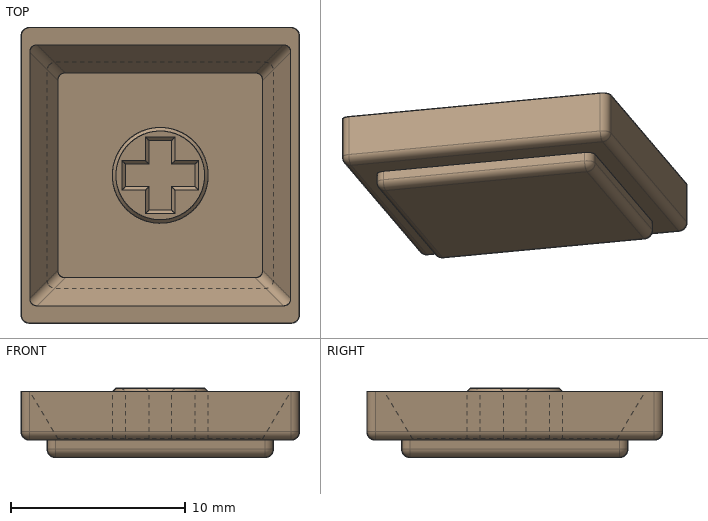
import cadquery as cq
import math

total_height = 4.0
edge_radius = 0.5

base_side = 13.0
base_height = 1.0

tray_length_x = 16.0
tray_length_y = 17
stem_rise = 0.19
rim_z = total_height - stem_rise

cavity_top_side = 15.0
cavity_floor_side = 11.76
cavity_depth = 2.72
cavity_corner_radius = 0.5
floor_z = rim_z - cavity_depth
wall_angle = math.degrees(math.atan((cavity_top_side - cavity_floor_side) / 2 / cavity_depth))

stem_diameter = 5.5
stem_chamfer = 0.2
socket_span = 4.0
socket_arm_width = 1.3
socket_chamfer = 0.2
socket_depth = total_height - floor_z


def rounded_block(length_x, length_y, bottom_z, top_z):
    """Block with rounded upright corners and a rounded bottom edge."""
    block = cq.Workplane("XY", origin=(0, 0, bottom_z)).rect(length_x, length_y).extrude(top_z - bottom_z)
    return block.edges("|Z").fillet(edge_radius).faces("<Z").edges().fillet(edge_radius)


def tapered_cavity():
    """Cutter narrowing from the rim down to the flat floor."""
    cutter = (
        cq.Workplane("XY", origin=(0, 0, rim_z))
        .rect(cavity_top_side, cavity_top_side)
        .extrude(-cavity_depth, taper=wall_angle)
    )
    return cutter.edges("not #Z").fillet(cavity_corner_radius)


def stem():
    """Round post standing on the cavity floor, chamfered at the top."""
    post = cq.Workplane("XY", origin=(0, 0, floor_z)).circle(stem_diameter / 2).extrude(total_height - floor_z)
    return post.faces(">Z").edges().chamfer(stem_chamfer)


def cross_socket():
    """Cross-shaped cutter that flares outward at the top of the stem."""
    top = cq.Workplane("XY", origin=(0, 0, total_height))
    cutter = cq.Workplane("XY")
    for span_x, span_y in ((socket_span, socket_arm_width), (socket_arm_width, socket_span)):
        arm = top.rect(span_x, span_y).extrude(-socket_depth)
        flare = (
            top.rect(span_x + 2 * socket_chamfer, span_y + 2 * socket_chamfer)
            .extrude(-socket_chamfer, taper=45)
        )
        cutter = cutter.add(arm).add(flare)
    return cutter.combine()


base = rounded_block(base_side, base_side, 0, base_height + edge_radius)
tray = rounded_block(tray_length_x, tray_length_y, base_height, rim_z)
shell = base.union(tray).cut(tapered_cavity())
result = shell.union(stem()).cut(cross_socket())